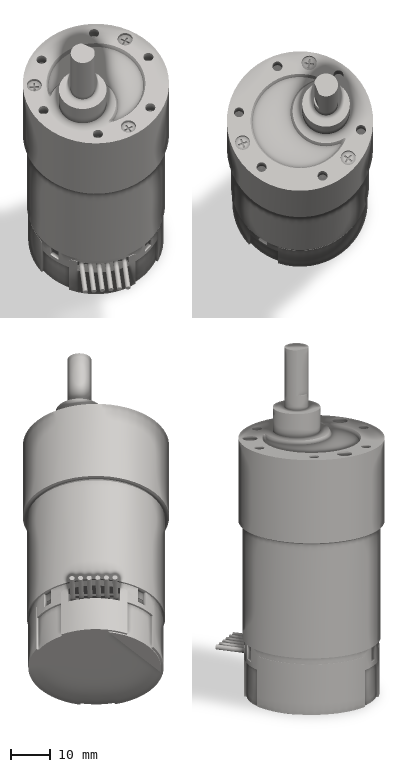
import cadquery as cq
import math

CAP_BASE_Z = 0.3
SHELL_TOP_Z = 13.6
BAND_BASE_Z = 9.9
CAN_BASE_Z = 15.3
NECK_BASE_Z = 45.4
GEARBOX_BASE_Z = 46.0
GEARBOX_TOP_Z = 68.0
BOSS_TOP_Z = 74.2
FLAT_BASE_Z = 78.0
SHAFT_TOP_Z = 90.1

GEARBOX_DIA = 36.8
CAN_DIA = 34.8
NECK_DIA = 34.1
SHELL_DIA = 34.1
BAND_DIA = 33.9
CORE_DIA = 32.8
BOSS_DIA = 12.0
SHAFT_DIA = 6.0

SHAFT_Y = -7.0
SHAFT_FLAT_OFFSET = 2.5

BOLT_CIRCLE_RADIUS = 15.5
MOUNT_HOLE_COUNT = 6
MOUNT_HOLE_DIA = 2.5
MOUNT_HOLE_DEPTH = 3.0
SCREW_DIRECTIONS = (90, 210, 330)
SCREW_HOLE_DIA = 3.8
SCREW_RECESS = 0.8
CROSS_LENGTH = 2.3
CROSS_WIDTH = 0.45
CROSS_DEPTH = 0.5

CRESCENT_OUTER_RADIUS = 12.4
CRESCENT_INNER_RADIUS = 8.4
CRESCENT_DEPTH = 0.9
CRESCENT_SLOPE = 0.5
CRESCENT_TIP_RADIUS = 0.4

GAP_ANGLE = 30.0
GAP_DIRECTIONS = (-10.8, 124.8, 260.0)
SHELL_CORNER = 0.5
NOTCH_WIDTH = 2.5
NOTCH_BASE_Z = 11.2
NOTCH_STEP_Z = 13.2
NOTCH_UPPER_DEPTH = 0.9
NOTCH_LOWER_DEPTH = 1.1

CONNECTOR_DIRECTION = -55.2
WINDOW_WIDTH = 13.0
WINDOW_BASE_Z = 9.7
WINDOW_FLOOR_RADIUS = 10.0
CONNECTOR_HEIGHT = 3.3
CONNECTOR_WALL = 0.6
CONNECTOR_END_WALL = 1.2
CONNECTOR_FACE_RADIUS = 14.1
CONNECTOR_CAVITY_DEPTH = 0.9
WIRE_COUNT = 6
WIRE_DIA = 1.3
WIRE_PITCH = 2.2
WIRE_Z = 11.35
WIRE_END_RADIUS = 23.7

PAD_EDGE_X = 12.1


def cylinder(diameter, base_z, top_z, y=0):
    return cq.Workplane("XY", origin=(0, y, base_z)).circle(diameter / 2).extrude(top_z - base_z)


def box(x_min, x_max, width, base_z, top_z):
    """Block centred on the X axis, reaching from x_min to x_max."""
    return (
        cq.Workplane("XY", origin=(x_min, 0, base_z))
        .box(x_max - x_min, width, top_z - base_z, centered=(False, True, False))
    )


def turn(body, degrees):
    return body.rotate((0, 0, 0), (0, 0, 1), degrees)


def recess_cone(floor_radius, top_radius, y):
    return (
        cq.Workplane("XY", origin=(0, y, GEARBOX_TOP_Z - CRESCENT_DEPTH)).circle(floor_radius)
        .workplane(offset=CRESCENT_DEPTH).circle(top_radius).loft()
    )


def crescent_recess():
    outer = recess_cone(CRESCENT_OUTER_RADIUS - CRESCENT_SLOPE, CRESCENT_OUTER_RADIUS, 0)
    inner = recess_cone(CRESCENT_INNER_RADIUS + CRESCENT_SLOPE, CRESCENT_INNER_RADIUS, SHAFT_Y)
    return outer.cut(inner).edges("%ELLIPSE").fillet(CRESCENT_TIP_RADIUS)


def screw_recess():
    """Sunken screw seat with a cross drive, at the +X end of the bolt circle."""
    seat_z = GEARBOX_TOP_Z - SCREW_RECESS
    seat = cylinder(SCREW_HOLE_DIA, seat_z, GEARBOX_TOP_Z)
    seat_plane = cq.Workplane("XY", origin=(0, 0, seat_z))
    bar_along_x = seat_plane.rect(CROSS_LENGTH, CROSS_WIDTH).extrude(-CROSS_DEPTH)
    bar_along_y = seat_plane.rect(CROSS_WIDTH, CROSS_LENGTH).extrude(-CROSS_DEPTH)
    cross = bar_along_x.union(bar_along_y)
    return seat.union(cross).translate((BOLT_CIRCLE_RADIUS, 0, 0))


def gearbox():
    body = cylinder(GEARBOX_DIA, GEARBOX_BASE_Z, GEARBOX_TOP_Z).cut(crescent_recess())
    mount_holes = (
        cq.Workplane("XY", origin=(0, 0, GEARBOX_TOP_Z))
        .polarArray(BOLT_CIRCLE_RADIUS, 0, 360, MOUNT_HOLE_COUNT)
        .circle(MOUNT_HOLE_DIA / 2).extrude(-MOUNT_HOLE_DEPTH)
    )
    body = body.cut(mount_holes)
    for angle in SCREW_DIRECTIONS:
        body = body.cut(turn(screw_recess(), angle))
    return body


def output_shaft():
    boss = cylinder(BOSS_DIA, GEARBOX_TOP_Z, BOSS_TOP_Z, SHAFT_Y)
    shaft = cylinder(SHAFT_DIA, BOSS_TOP_Z, SHAFT_TOP_Z, SHAFT_Y)
    flat_cutter = (
        cq.Workplane("XY", origin=(0, SHAFT_Y + SHAFT_FLAT_OFFSET, FLAT_BASE_Z))
        .box(SHAFT_DIA, SHAFT_DIA, SHAFT_TOP_Z - FLAT_BASE_Z, centered=(True, False, False))
    )
    return boss.union(shaft.cut(flat_cutter))


def gap_cutter():
    """Wedge that opens one gap between shells, around the +X axis."""
    half = math.radians(GAP_ANGLE / 2)
    reach = SHELL_DIA
    side_x = reach * math.cos(half)
    side_y = reach * math.sin(half)
    return (
        cq.Workplane("XY", origin=(0, 0, CAP_BASE_Z))
        .polyline([(0, 0), (side_x, -side_y), (side_x, side_y)]).close()
        .extrude(SHELL_TOP_Z - CAP_BASE_Z)
    )


def gap_corner_cutter():
    """Chamfers the top corners of the two shells beside a gap."""
    half_gap = SHELL_DIA / 2 * math.sin(math.radians(GAP_ANGLE / 2))
    wide = half_gap + SHELL_CORNER
    return (
        cq.Workplane("YZ")
        .polyline([
            (-wide, SHELL_TOP_Z), (wide, SHELL_TOP_Z),
            (half_gap, SHELL_TOP_Z - SHELL_CORNER), (-half_gap, SHELL_TOP_Z - SHELL_CORNER),
        ]).close()
        .extrude(SHELL_DIA)
    )


def end_cap():
    shells = cylinder(SHELL_DIA, CAP_BASE_Z, SHELL_TOP_Z)
    for direction in GAP_DIRECTIONS:
        shells = shells.cut(turn(gap_cutter(), direction))
        shells = shells.cut(turn(gap_corner_cutter(), direction))
    cap = cylinder(CORE_DIA, CAP_BASE_Z, CAN_BASE_Z)
    cap = cap.union(cylinder(BAND_DIA, BAND_BASE_Z, CAN_BASE_Z)).union(shells)

    radius = BAND_DIA / 2
    upper = box(radius - NOTCH_UPPER_DEPTH, SHELL_DIA, NOTCH_WIDTH, NOTCH_STEP_Z, CAN_BASE_Z)
    lower = box(radius - NOTCH_LOWER_DEPTH, SHELL_DIA, NOTCH_WIDTH, NOTCH_BASE_Z, NOTCH_STEP_Z)
    for direction in GAP_DIRECTIONS:
        cap = cap.cut(turn(upper.union(lower), direction))

    window = box(WINDOW_FLOOR_RADIUS, SHELL_DIA, WINDOW_WIDTH, WINDOW_BASE_Z, SHELL_TOP_Z)
    return cap.cut(turn(window, CONNECTOR_DIRECTION))


def connector():
    housing_top_z = WINDOW_BASE_Z + CONNECTOR_HEIGHT
    housing = box(WINDOW_FLOOR_RADIUS, CONNECTOR_FACE_RADIUS, WINDOW_WIDTH, WINDOW_BASE_Z, housing_top_z)
    cavity = box(CONNECTOR_FACE_RADIUS - CONNECTOR_CAVITY_DEPTH, CONNECTOR_FACE_RADIUS,
                 WINDOW_WIDTH - 2 * CONNECTOR_END_WALL,
                 WINDOW_BASE_Z + CONNECTOR_WALL, housing_top_z - CONNECTOR_WALL)
    plug = housing.cut(cavity)
    first_y = -WIRE_PITCH * (WIRE_COUNT - 1) / 2
    for i in range(WIRE_COUNT):
        wire = (
            cq.Workplane("YZ", origin=(WINDOW_FLOOR_RADIUS, first_y + i * WIRE_PITCH, WIRE_Z))
            .circle(WIRE_DIA / 2).extrude(WIRE_END_RADIUS - WINDOW_FLOOR_RADIUS)
        )
        plug = plug.union(wire)
    return turn(plug, CONNECTOR_DIRECTION)


def underside_pad():
    disc = cylinder(CORE_DIA, 0, CAP_BASE_Z)
    return disc.intersect(box(PAD_EDGE_X, CORE_DIA, CORE_DIA, 0, CAP_BASE_Z))


can = cylinder(CAN_DIA, CAN_BASE_Z, NECK_BASE_Z)
neck = cylinder(NECK_DIA, NECK_BASE_Z, GEARBOX_BASE_Z)

result = (
    end_cap()
    .union(connector())
    .union(underside_pad())
    .union(can)
    .union(neck)
    .union(gearbox())
    .union(output_shaft())
)